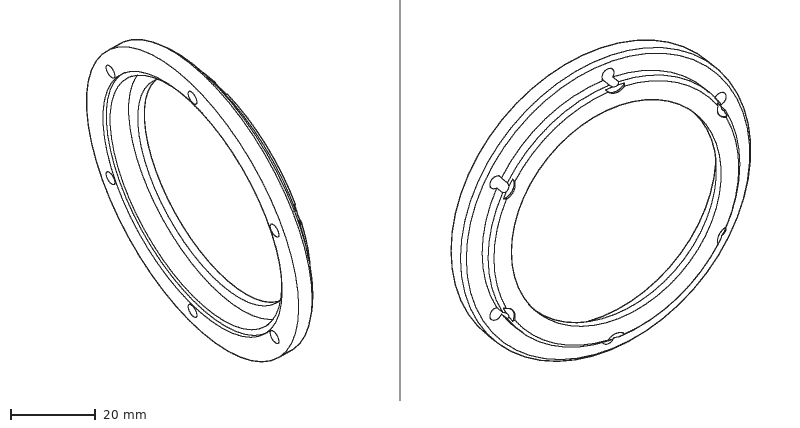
import cadquery as cq

flange_diameter = 83.0
flange_thickness = 5.0
collar_diameter = 72.0
collar_height = 3.5
edge_chamfer = 1.0
total_depth = flange_thickness + collar_height

bore_diameter = 59.9
pocket_diameter = 67.1
recess_diameter = 70.05
recess_depth = 1.0
lip_thickness = 2.0
pocket_depth = total_depth - lip_thickness

hole_count = 6
hole_circle_diameter = 74.0
hole_diameter = 3.4
head_relief_diameter = 6.3
head_relief_depth = 0.5


def disc(diameter, start, length):
    """Cylinder on the Y axis, running in +Y from the given start."""
    plane = cq.Workplane(cq.Plane((0, start, 0), (1, 0, 0), (0, 1, 0)))
    return plane.circle(diameter / 2).extrude(length)


def screw_cutters(diameter, start, length):
    """Ring of cylinders at the screw positions, the first straight above the axis."""
    plane = cq.Workplane(cq.Plane((0, start, 0), (0, 0, 1), (0, 1, 0)))
    centres = plane.polarArray(hole_circle_diameter / 2, 0, 360, hole_count)
    return centres.circle(diameter / 2).extrude(length)


flange = disc(flange_diameter, 0, flange_thickness).faces(">Y").chamfer(edge_chamfer)
collar = disc(collar_diameter, 0, total_depth).faces(">Y").chamfer(edge_chamfer)
body = flange.union(collar)

body = body.cut(disc(bore_diameter, 0, total_depth))
body = body.cut(disc(pocket_diameter, 0, pocket_depth))
body = body.cut(disc(recess_diameter, 0, recess_depth))

body = body.cut(screw_cutters(hole_diameter, 0, total_depth))
relief_floor = total_depth - head_relief_depth
result = body.cut(screw_cutters(head_relief_diameter, relief_floor, head_relief_depth))